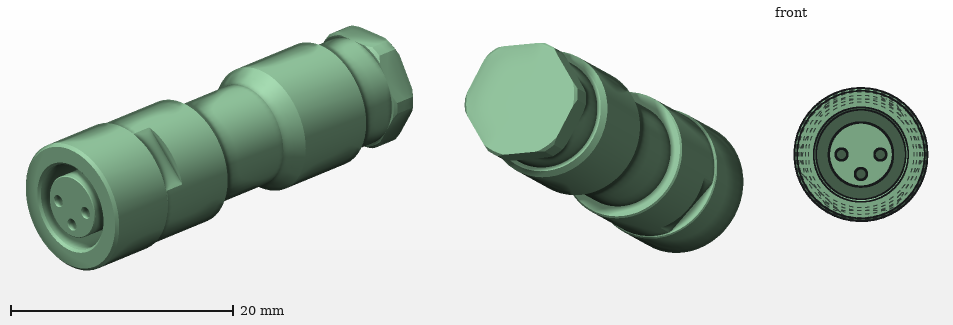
import cadquery as cq
import math

length = 38.0
front_y = -length / 2
back_y = length / 2

collar_radius = 6.0
collar_length = 6.45
collar_front_chamfer = 0.25
collar_back_chamfer = 0.1

barrel_radius = 5.8
front_barrel_length = 7.8
front_barrel_chamfer = 0.15
neck_radius = 4.75
neck_length = 7.9
taper_length = 1.8
rear_barrel_chamfer = 0.45

shank_radius = 5.0
shank_length = 3.55
nut_length = 2.47
nut_across_flats = 2 * shank_radius
nut_corner_radius = 5.5
nut_chamfer = 0.247

flat_distance = 4.98
flat_length = 2.1
flat_angle = -45

bore_radius = 4.03
bore_chamfer = 0.23
bore_depth = 4.55
insert_radius = 2.93
insert_chamfer = 0.08
insert_recess = 0.2
contact_radius = 0.5
contact_chamfer = 0.08
contact_offset = 1.75
contact_depth = 3.05

collar_back_y = front_y + collar_length
neck_front_y = collar_back_y + front_barrel_length
taper_front_y = neck_front_y + neck_length
taper_back_y = taper_front_y + taper_length
nut_front_y = back_y - nut_length
shank_front_y = nut_front_y - shank_length


def cylinder(radius, start_y, end_y, x=0, z=0):
    """Solid cylinder parallel to Y between two stations."""
    circle = cq.Workplane("XZ", origin=(x, start_y, z)).circle(radius)
    return circle.extrude(start_y - end_y)


def make_collar():
    collar = cylinder(collar_radius, front_y, collar_back_y)
    collar = collar.faces("<Y").chamfer(collar_front_chamfer)
    return collar.faces(">Y").chamfer(collar_back_chamfer)


def make_front_barrel():
    barrel = cylinder(barrel_radius, collar_back_y, neck_front_y)
    barrel = barrel.faces("<Y or >Y").chamfer(front_barrel_chamfer)
    slab = cq.Workplane("XY").box(2 * flat_distance, flat_length, 2 * barrel_radius)
    slab = slab.rotate((0, 0, 0), (0, 1, 0), flat_angle)
    slab = slab.translate((0, collar_back_y + flat_length / 2, 0))
    plain_part = cylinder(barrel_radius, collar_back_y + flat_length, neck_front_y)
    return barrel.intersect(slab.union(plain_part))


def make_rear_body():
    """Neck, taper, rear barrel and shank turned as one profile."""
    profile = (
        cq.Workplane("XY")
        .moveTo(0, neck_front_y)
        .lineTo(neck_radius, neck_front_y)
        .lineTo(neck_radius, taper_front_y)
        .lineTo(barrel_radius, taper_back_y)
        .lineTo(barrel_radius, shank_front_y - rear_barrel_chamfer)
        .lineTo(barrel_radius - rear_barrel_chamfer, shank_front_y)
        .lineTo(shank_radius, shank_front_y)
        .lineTo(shank_radius, nut_front_y)
        .lineTo(0, nut_front_y)
        .close()
    )
    return profile.revolve(360, (0, 0, 0), (0, 1, 0))


def make_nut():
    """Hexagon with flats facing +Z and -Z, rounded and chamfered at its corners."""
    across_corners = nut_across_flats / math.cos(math.radians(30))
    hexagon = (
        cq.Workplane("XZ", origin=(0, nut_front_y, 0))
        .polygon(6, across_corners)
        .extrude(-nut_length)
    )
    envelope = cylinder(nut_corner_radius, nut_front_y, back_y)
    envelope = envelope.faces("<Y or >Y").chamfer(nut_chamfer)
    return hexagon.intersect(envelope)


def make_hole(radius, lead_in, start_y, depth, x=0, z=0):
    """Cutter for a blind hole with a conical lead-in at its mouth."""
    cone = cq.Solid.makeCone(
        radius + lead_in, radius, lead_in, pnt=cq.Vector(x, start_y, z), dir=cq.Vector(0, 1, 0)
    )
    return cylinder(radius, start_y, start_y + depth, x, z).union(cq.Workplane(cone))


def cut_socket(body):
    """Annular socket around a recessed insert with three contact holes."""
    insert_face_y = front_y + insert_recess
    insert = cylinder(insert_radius, insert_face_y, front_y + bore_depth)
    insert = insert.faces("<Y").chamfer(insert_chamfer)
    bore = make_hole(bore_radius, bore_chamfer, front_y, bore_depth)
    body = body.cut(bore.cut(insert))
    for x, z in ((-contact_offset, 0), (contact_offset, 0), (0, -contact_offset)):
        hole = make_hole(contact_radius, contact_chamfer, insert_face_y, contact_depth, x, z)
        body = body.cut(hole)
    return body


body = make_collar().union(make_front_barrel()).union(make_rear_body()).union(make_nut())
result = cut_socket(body)